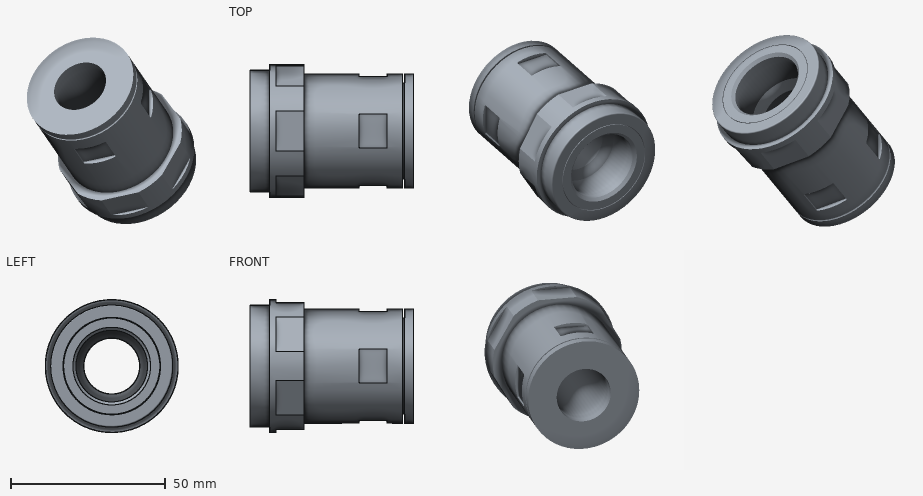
import cadquery as cq
import math

length = 53.0
spigot_end = 6.4
flange_end = 8.55
hex_end = 17.55
groove_start = 49.45
groove_end = 50.1

spigot_diameter = 39.5
flange_diameter = 43.0
body_diameter = 37.0
groove_diameter = 31.1
spigot_edge_radius = 0.4

hex_across_flats = 41.0
body_across_flats = 34.0
pocket_start = 35.35
pocket_end = 44.4
pocket_width = 11.1
pocket_corner_radius = 0.35
pocket_count = 4

entry_diameter = 25.1
wide_bore_diameter = 23.15
narrow_bore_diameter = 18.0
entry_depth = (entry_diameter - wide_bore_diameter) / 2
taper_start = 12.7
taper_end = taper_start + (wide_bore_diameter - narrow_bore_diameter) / 2

face_ring_outer = 31.55
face_ring_inner = 31.1
face_ring_depth = 0.55


def cylinder(start, end, diameter):
    """Solid cylinder on the X axis between two stations."""
    return cq.Workplane("YZ").workplane(offset=start).circle(diameter / 2).extrude(end - start)


def make_outside():
    """Rounded-edge spigot, round flange, hexagon with rounded corners and round body."""
    spigot = cylinder(0, spigot_end, spigot_diameter).faces("<X").fillet(spigot_edge_radius)
    flange = cylinder(spigot_end, flange_end, flange_diameter)
    across_corners = hex_across_flats / math.cos(math.pi / 6)
    hexagon = (
        cq.Workplane("YZ")
        .workplane(offset=flange_end)
        .polygon(6, across_corners)
        .extrude(hex_end - flange_end)
        .intersect(cylinder(flange_end, hex_end, flange_diameter))
    )
    body = cylinder(hex_end, groove_start, body_diameter)
    groove_core = cylinder(groove_start, groove_end, groove_diameter)
    end_collar = cylinder(groove_end, length, body_diameter)
    return spigot.union(flange).union(hexagon).union(body).union(groove_core).union(end_collar)


def make_flat_pocket(angle):
    """Cutter for one flat-bottomed wrench pocket, turned about the X axis."""
    return (
        cq.Workplane("XY")
        .workplane(offset=body_across_flats / 2)
        .center((pocket_start + pocket_end) / 2, 0)
        .rect(pocket_end - pocket_start, pocket_width)
        .extrude(body_diameter - body_across_flats)
        .edges("|Z")
        .fillet(pocket_corner_radius)
        .rotate((0, 0, 0), (1, 0, 0), angle)
    )


def make_bore():
    """Revolved cutter for the stepped through bore."""
    return (
        cq.Workplane("XY")
        .moveTo(0, 0)
        .lineTo(0, entry_diameter / 2)
        .lineTo(entry_depth, wide_bore_diameter / 2)
        .lineTo(taper_start, wide_bore_diameter / 2)
        .lineTo(taper_end, narrow_bore_diameter / 2)
        .lineTo(length, narrow_bore_diameter / 2)
        .lineTo(length, 0)
        .close()
        .revolve(360, (0, 0, 0), (1, 0, 0))
    )


def make_face_ring():
    """Cutter for the thin ring groove in the front face."""
    outer = cylinder(0, face_ring_depth, face_ring_outer)
    return outer.cut(cylinder(0, face_ring_depth, face_ring_inner))


result = make_outside().cut(make_bore()).cut(make_face_ring())
for index in range(pocket_count):
    result = result.cut(make_flat_pocket(index * 360 / pocket_count))